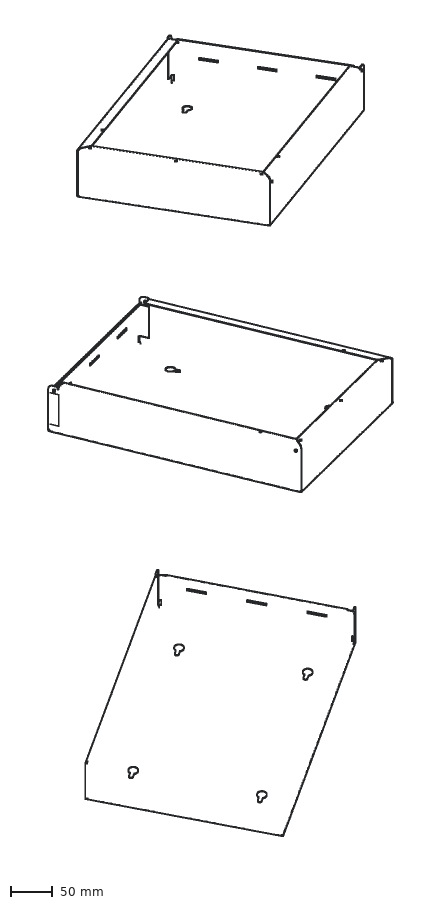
import cadquery as cq
import math

width = 246.0
length = 340.0
height = 65.0
sheet = 1.2
inner_bend = 2.0
bend = sheet + inner_bend
half_width = width / 2
half_length = length / 2

flange = 14.0
miter_angle = 45
miter_gap = 0.5
corner_notch = 0.4
relief_gap = 1.0

ear_radius = 6.0
ear_length = 13.5
ear_front_radius = 1.7
ear_hole_height = 58.5
pin_inset = 7.8

lip_angle = 45
lip_half_width = 113.0
lip_start = 54.0
lip_run = 10.2
lip_corner = 2.7

tab_reach = 14.0
tab_bottom = 11.0
tab_clearance = 0.2

pin_diameter = 3.2
front_hole_inset = 8.0
front_hole_spacing = 109.0
side_hole_inset = 11.2
side_hole_y = -109.5
front_side_hole_height = 56.8

keyhole_x = 80.0
keyhole_y = 107.0
keyhole_diameter = 12.0
keyhole_slot_width = 5.0
keyhole_drop = 10.5

slot_length = 24.0
slot_height = 2.5
slot_spacing = 74.8
slot_z = 37.5


def block(x0, x1, y0, y1, z0, z1):
    """Axis-aligned box between two opposite corners."""
    return cq.Workplane("XY").box(x1 - x0, y1 - y0, z1 - z0, centered=False).translate((x0, y0, z0))


def bent_block(inset, radius):
    """Tray envelope, inset on all faces, with its bend edges rounded."""
    body = cq.Workplane("XY").box(width - 2 * inset, length - 2 * inset, height - 2 * inset)
    body = body.translate((0, 0, height / 2))
    return body.edges("<Z or (>Z and (not >Y))").fillet(radius)


def make_shell():
    """Sheet tray with mitered top flanges and open vertical corners."""
    shell = bent_block(0, bend).cut(bent_block(sheet, inner_bend))
    opening_x = half_width - flange
    opening_back = half_length - sheet
    shell = shell.cut(block(-opening_x, opening_x, flange - half_length, opening_back, height / 2, height))
    shell = shell.cut(block(-half_width, half_width, half_length - ear_length, half_length, lip_start, height))
    for side in (-1, 1):
        corner_x = side * (half_width - corner_notch / 2)
        corner_y = half_length - corner_notch / 2
        notch = cq.Workplane("XY").box(corner_notch, corner_notch, height, centered=(True, True, False))
        shell = shell.cut(notch.translate((corner_x, -corner_y, bend)))
        miter_length = 2 * flange * math.sqrt(2)
        miter = cq.Workplane("XY").box(miter_length, miter_gap, bend, centered=(True, True, False))
        miter = miter.rotate((0, 0, 0), (0, 0, 1), -miter_angle * side)
        shell = shell.cut(miter.translate((side * half_width, -half_length, height - bend)))
    return shell


def make_ear(side):
    """Flat back end of a side wall, rounded at the top around the hinge hole."""
    ear_front = half_length - ear_length + relief_gap
    flap = block(0, sheet, ear_front, half_length, bend, height)
    flap = flap.edges("|X and >Y and >Z").fillet(ear_radius)
    flap = flap.edges("|X and <Y and >Z").fillet(ear_front_radius)
    ear = flap.union(block(0, sheet, half_length - ear_length, ear_front, bend, height - bend))
    return ear.translate((half_width - sheet if side > 0 else -half_width, 0, 0))


def make_lip():
    """Lip bent inward and upward from the top of the back wall."""
    angle = math.radians(lip_angle)
    center_y = half_length - bend

    def on_bend(radius, turn):
        return (center_y + radius * math.cos(turn), lip_start + radius * math.sin(turn))

    def tip(radius):
        y, z = on_bend(radius, angle)
        return (y - lip_run * math.sin(angle), z + lip_run * math.cos(angle))

    lip = (
        cq.Workplane("YZ")
        .moveTo(*on_bend(bend, 0))
        .threePointArc(on_bend(bend, angle / 2), on_bend(bend, angle))
        .lineTo(*tip(bend))
        .lineTo(*tip(inner_bend))
        .lineTo(*on_bend(inner_bend, angle))
        .threePointArc(on_bend(inner_bend, angle / 2), on_bend(inner_bend, 0))
        .close()
        .extrude(lip_half_width, both=True)
    )
    tip_y = tip(inner_bend)[0]
    corners = cq.selectors.BoxSelector(
        (-width, tip_y - sheet, lip_start), (width, tip_y + sheet, height)
    )
    return lip.edges(corners).edges("not |X").fillet(lip_corner)


def make_tab(side):
    """L-shaped corner tab joined to the back wall."""
    outer_x = half_width - sheet - tab_clearance
    inner_x = outer_x - bend - sheet
    outer = block(inner_x, outer_x, half_length - tab_reach, half_length, tab_bottom, lip_start)
    outer = outer.edges("|Z and >X and >Y").fillet(bend)
    hollow = block(0, outer_x - sheet, 0, half_length - sheet, 0, height)
    hollow = hollow.edges("|Z and >X and >Y").fillet(inner_bend)
    tab = outer.cut(hollow)
    return tab if side > 0 else tab.mirror("YZ")


def back_corner_cut(side):
    """Room cleared at a back corner before the tab is folded in."""
    inner_x = half_width - sheet - tab_clearance - bend
    cut = block(inner_x, half_width, half_length - sheet, half_length, bend, height)
    return cut if side > 0 else cut.mirror("YZ")


def keyhole(x, y):
    """Round hole with a narrow slot running toward the front."""
    hole = cq.Workplane("XY").center(x, y).circle(keyhole_diameter / 2).extrude(bend, both=True)
    end_y = y - keyhole_drop
    end = cq.Workplane("XY").center(x, end_y).circle(keyhole_slot_width / 2).extrude(bend, both=True)
    half_slot = keyhole_slot_width / 2
    return hole.union(end).union(block(x - half_slot, x + half_slot, end_y, y, -bend, bend))


tray = make_shell()
for side in (-1, 1):
    tray = tray.cut(back_corner_cut(side))
    tray = tray.union(make_ear(side)).union(make_tab(side))
tray = tray.union(make_lip())

flange_holes = [(x, front_hole_inset - half_length) for x in (-front_hole_spacing, 0, front_hole_spacing)]
flange_holes += [(side * (half_width - side_hole_inset), side_hole_y) for side in (-1, 1)]
tray = tray.cut(
    cq.Workplane("XY").workplane(offset=height / 2).pushPoints(flange_holes)
    .circle(pin_diameter / 2).extrude(height)
)

side_holes = [(half_length - pin_inset, ear_hole_height), (pin_inset - half_length, front_side_hole_height)]
tray = tray.cut(
    cq.Workplane("YZ").pushPoints(side_holes).circle(pin_diameter / 2).extrude(width, both=True)
)

for x in (-keyhole_x, keyhole_x):
    for y in (-keyhole_y, keyhole_y):
        tray = tray.cut(keyhole(x, y))

for x in (-slot_spacing, 0, slot_spacing):
    tray = tray.cut(
        block(x - slot_length / 2, x + slot_length / 2, 0, length,
              slot_z - slot_height / 2, slot_z + slot_height / 2)
    )

result = tray